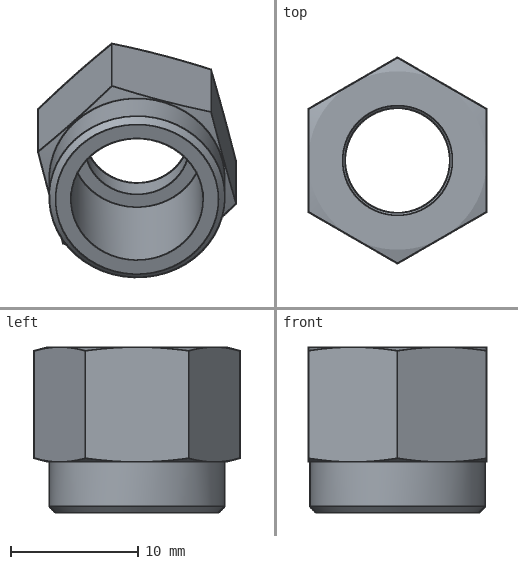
import cadquery as cq
import math

corner_diameter = 16.17
flat_width = corner_diameter * math.cos(math.radians(30))
total_height = 13.0
collar_height = 4.0
collar_diameter = 13.8
collar_chamfer = 0.5
bore_diameter = 8.2
bore_chamfer = 0.21
bore_depth = 2.5
counterbore_diameter = 10.38
corner_chamfer_angle = 15.0
envelope_margin = 0.16


def make_hexagon():
    """Hexagon with corners on the Y axis and conical chamfers at both ends."""
    prism = (
        cq.Workplane("XY")
        .workplane(offset=collar_height)
        .polygon(6, corner_diameter)
        .extrude(total_height - collar_height)
        .rotate((0, 0, 0), (0, 0, 1), 30)
    )
    flat_radius = flat_width / 2
    envelope_radius = corner_diameter / 2 + envelope_margin
    slope = math.tan(math.radians(corner_chamfer_angle))
    drop = (envelope_radius - flat_radius) * slope
    envelope = (
        cq.Workplane("XZ")
        .moveTo(0, collar_height)
        .lineTo(flat_radius, collar_height)
        .lineTo(envelope_radius, collar_height + drop)
        .lineTo(envelope_radius, total_height - drop)
        .lineTo(flat_radius, total_height)
        .lineTo(0, total_height)
        .close()
        .revolve(360, (0, 0, 0), (0, 1, 0))
    )
    return prism.intersect(envelope)


def make_collar():
    """Round collar below the hexagon, chamfered on its lower rim."""
    return (
        cq.Workplane("XY")
        .circle(collar_diameter / 2)
        .extrude(collar_height)
        .faces("<Z")
        .chamfer(collar_chamfer)
    )


def make_opening():
    """Chamfered bore from the top, opening into a wider bore from below."""
    bore = (
        cq.Workplane("XY")
        .circle(bore_diameter / 2)
        .extrude(total_height)
    )
    counterbore = (
        cq.Workplane("XY")
        .circle(counterbore_diameter / 2)
        .extrude(total_height - bore_depth)
    )
    countersink = (
        cq.Workplane("XY")
        .workplane(offset=total_height - bore_chamfer)
        .circle(bore_diameter / 2)
        .workplane(offset=bore_chamfer)
        .circle(bore_diameter / 2 + bore_chamfer)
        .loft()
    )
    return bore.union(counterbore).union(countersink)


result = make_hexagon().union(make_collar()).cut(make_opening())